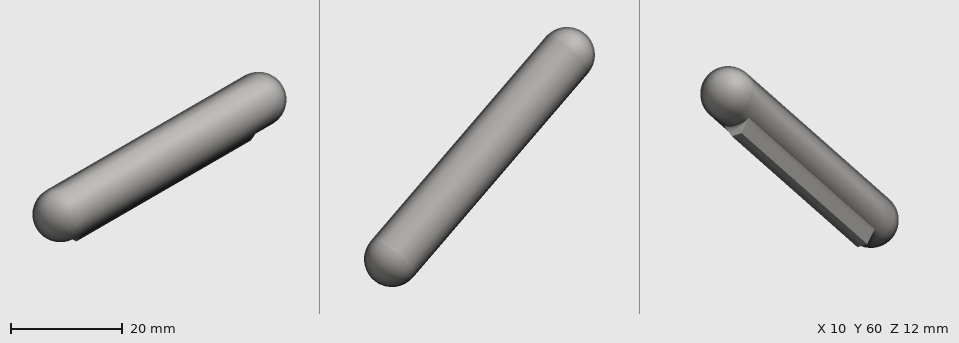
import cadquery as cq
import math

capsule_length = 59.95
capsule_diameter = 10.0
overall_height = 12.0

keel_length = 44.0
keel_bottom_width = 2.05
keel_flank_angle = 60.0

capsule_radius = capsule_diameter / 2
half_length = capsule_length / 2
straight_length = half_length - capsule_radius
half_keel_length = keel_length / 2
keel_bottom_z = capsule_radius - overall_height
keel_top_z = -capsule_radius / 2
keel_spread = (keel_top_z - keel_bottom_z) / math.tan(math.radians(keel_flank_angle))
keel_top_width = keel_bottom_width + 2 * keel_spread


def make_rounded_rod():
    """Half capsule from Y = 0 to the round tip at +Y, revolved about the Y axis."""
    tip_reach = capsule_radius * math.sqrt(0.5)
    return (
        cq.Workplane("XY")
        .lineTo(capsule_radius, 0)
        .lineTo(capsule_radius, straight_length)
        .threePointArc((tip_reach, straight_length + tip_reach), (0, half_length))
        .close()
        .revolve(360, (0, 0, 0), (0, 1, 0))
    )


def make_keel():
    """Half of the tapered keel, from Y = 0 towards +Y."""
    return (
        cq.Workplane("XZ")
        .polyline([
            (-keel_bottom_width / 2, keel_bottom_z),
            (keel_bottom_width / 2, keel_bottom_z),
            (keel_top_width / 2, keel_top_z),
            (-keel_top_width / 2, keel_top_z),
        ])
        .close()
        .extrude(-half_keel_length)
    )


def make_capsule_half(side):
    """One capsule half with its keel, on the +Y side (side = 1) or the -Y side (side = -1)."""
    half = make_rounded_rod().union(make_keel())
    if side < 0:
        half = half.mirror("XZ")
    return half


capsule_halves = [make_capsule_half(side).solids().val() for side in (1, -1)]

result = cq.Compound.makeCompound(capsule_halves)